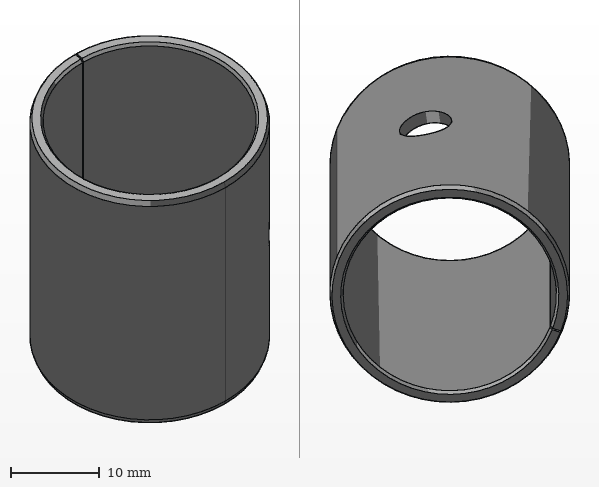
import cadquery as cq

length = 35.0
outer_diameter = 27.0
wall = 1.5
outer_radius = outer_diameter / 2
inner_radius = outer_radius - wall

outer_chamfer_height = 0.7
outer_chamfer_width = 0.25
inner_chamfer_width = 0.28
inner_chamfer_height = 0.4

slit_width = 0.18

hole_diameter = 6.0
hole_height = length / 2
hole_angle = 58.0


def make_sleeve():
    """Revolve the chamfered wall section about Z."""
    section = [
        (inner_radius, inner_chamfer_height),
        (inner_radius + inner_chamfer_width, 0),
        (outer_radius - outer_chamfer_width, 0),
        (outer_radius, outer_chamfer_height),
        (outer_radius, length - outer_chamfer_height),
        (outer_radius - outer_chamfer_width, length),
        (inner_radius + inner_chamfer_width, length),
        (inner_radius, length - inner_chamfer_height),
    ]
    return cq.Workplane("XZ").polyline(section).close().revolve(360, (0, 0), (0, 1))


def make_slit():
    """Thin lengthwise cut through the -X wall only, on the +Y side of the XZ plane."""
    return cq.Workplane("XY").box(outer_radius, slit_width, length, centered=False).translate(
        (-outer_radius, 0, 0)
    )


def make_radial_hole():
    """Cylinder running outwards from the axis through one wall."""
    return (
        cq.Workplane("YZ")
        .center(0, hole_height)
        .circle(hole_diameter / 2)
        .extrude(outer_diameter)
        .rotate((0, 0, 0), (0, 0, 1), hole_angle)
    )


result = make_sleeve().cut(make_slit()).cut(make_radial_hole())